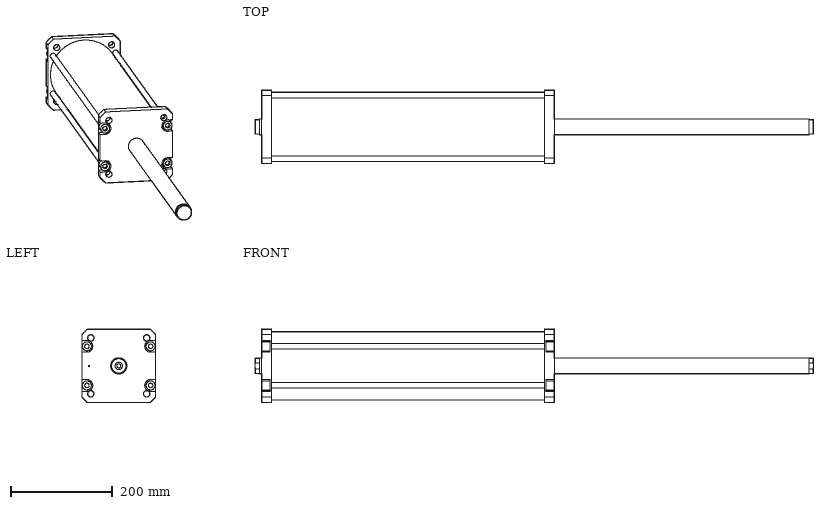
import cadquery as cq
import math

TOTAL_LENGTH = 1098.0
REAR_STUB = 13.0
PLATE_THICKNESS = 20.0
TUBE_LENGTH = 536.0

PLATE_SIZE = 145.0
CORNER_CIRCLE = 190.0
MOUNT_OFFSET = 55.0
MOUNT_DIAMETER = 12.0
VENT_Y = 58.0
VENT_DIAMETER = 2.0

TIE_Y = 63.0
TIE_Z = 38.0
TIE_DIAMETER = 11.0
HEAD_DIAMETER = 18.0
HEAD_LENGTH = 16.0
SOCKET_DIAMETER = 9.0
SOCKET_DEPTH = 7.0
POCKET_WIDTH = 23.0

TUBE_DIAMETER = 135.0
TUBE_WALL = 4.0

ROD_DIAMETER = 32.0
SPIGOT_DIAMETER = 31.0
SPIGOT_LENGTH = 9.0
SPIGOT_FLATS = 29.0
END_CHAMFER = 1.0
BORE_DIAMETER = 8.0
BORE_DEPTH = 9.0
BORE_MOUTH = 14.0
DRILL_TIP_ANGLE = 118

REAR_FACE = REAR_STUB
TUBE_START = REAR_FACE + PLATE_THICKNESS
TUBE_END = TUBE_START + TUBE_LENGTH
FRONT_FACE = TUBE_END + PLATE_THICKNESS
REAR_SEAT = REAR_FACE + HEAD_LENGTH
FRONT_SEAT = FRONT_FACE - HEAD_LENGTH

AXIS = [(0, 0)]
TIE_POINTS = [(y, z) for y in (-TIE_Y, TIE_Y) for z in (-TIE_Z, TIE_Z)]
MOUNT_POINTS = [(y, z) for y in (-MOUNT_OFFSET, MOUNT_OFFSET) for z in (-MOUNT_OFFSET, MOUNT_OFFSET)]


def yz_plane(start):
    return cq.Workplane("YZ", origin=(start, 0, 0))


def cylinders(points, diameter, start, end):
    """Cylinders along X between two stations, one at each (y, z) point."""
    return yz_plane(start).pushPoints(points).circle(diameter / 2).extrude(end - start)


def cut_head_pockets(plate, start, end):
    """Cut a round-bottomed pocket around each tie rod head, open to the nearest Y side."""
    side_points = [(2 * y, z) for y, z in TIE_POINTS]
    side_slots = yz_plane(start).pushPoints(side_points).rect(2 * TIE_Y, POCKET_WIDTH).extrude(end - start)
    return plate.cut(cylinders(TIE_POINTS, POCKET_WIDTH, start, end)).cut(side_slots)


def make_plate(start):
    """Square end plate with its rod bore, tie rod holes and mounting holes."""
    end = start + PLATE_THICKNESS
    blank = yz_plane(start).rect(PLATE_SIZE, PLATE_SIZE).extrude(PLATE_THICKNESS)
    return (
        blank.intersect(cylinders(AXIS, CORNER_CIRCLE, start, end))
        .cut(cylinders(MOUNT_POINTS, MOUNT_DIAMETER, start, end))
        .cut(cylinders(TIE_POINTS, TIE_DIAMETER, start, end))
        .cut(cylinders(AXIS, ROD_DIAMETER, start, end))
    )


def make_rear_plate():
    plate = cut_head_pockets(make_plate(REAR_FACE), REAR_FACE, REAR_SEAT)
    return plate.cut(cylinders([(VENT_Y, 0)], VENT_DIAMETER, REAR_FACE, TUBE_START))


def make_front_plate():
    return cut_head_pockets(make_plate(TUBE_END), FRONT_SEAT, FRONT_FACE)


def make_tube():
    bore_diameter = TUBE_DIAMETER - 2 * TUBE_WALL
    outside = cylinders(AXIS, TUBE_DIAMETER, TUBE_START, TUBE_END)
    return outside.cut(cylinders(AXIS, bore_diameter, TUBE_START, TUBE_END))


def make_spigots():
    """Slightly reduced, chamfered rod ends with a flat on each Y side, joined by their core."""
    core = cylinders(AXIS, SPIGOT_DIAMETER, 0, TOTAL_LENGTH).faces("<X or >X").chamfer(END_CHAMFER)
    return core.intersect(yz_plane(0).rect(SPIGOT_FLATS, ROD_DIAMETER).extrude(TOTAL_LENGTH))


def make_centre_bore():
    """Countersunk blind hole with a conical drill tip, in the rear end of the rod."""
    mouth_radius = BORE_MOUTH / 2
    bore_radius = BORE_DIAMETER / 2
    sink_depth = mouth_radius - bore_radius
    tip_length = bore_radius / math.tan(math.radians(DRILL_TIP_ANGLE / 2))
    profile = [
        (0, 0),
        (0, mouth_radius),
        (sink_depth, bore_radius),
        (BORE_DEPTH, bore_radius),
        (BORE_DEPTH + tip_length, 0),
    ]
    return cq.Workplane("XY").polyline(profile).close().revolve(360, (0, 0, 0), (1, 0, 0))


def make_piston_rod():
    shaft = cylinders(AXIS, ROD_DIAMETER, SPIGOT_LENGTH, TOTAL_LENGTH - SPIGOT_LENGTH)
    return shaft.union(make_spigots()).cut(make_centre_bore())


def make_tie_rod(point):
    """Tie rod whose two socketed heads end flush with the outer plate faces."""
    shank = cylinders([point], TIE_DIAMETER, REAR_SEAT, FRONT_SEAT)
    rear_head = cylinders([point], HEAD_DIAMETER, REAR_FACE, REAR_SEAT)
    front_head = cylinders([point], HEAD_DIAMETER, FRONT_SEAT, FRONT_FACE)
    rear_socket = cylinders([point], SOCKET_DIAMETER, REAR_FACE, REAR_FACE + SOCKET_DEPTH)
    front_socket = cylinders([point], SOCKET_DIAMETER, FRONT_FACE - SOCKET_DEPTH, FRONT_FACE)
    return shank.union(rear_head).union(front_head).cut(rear_socket).cut(front_socket)


rear_plate = make_rear_plate()
front_plate = make_front_plate()
tube = make_tube()
piston_rod = make_piston_rod()
tie_rods = [make_tie_rod(point).val() for point in TIE_POINTS]

result = cq.Compound.makeCompound(
    [rear_plate.val(), front_plate.val(), tube.val(), piston_rod.val(), *tie_rods]
)